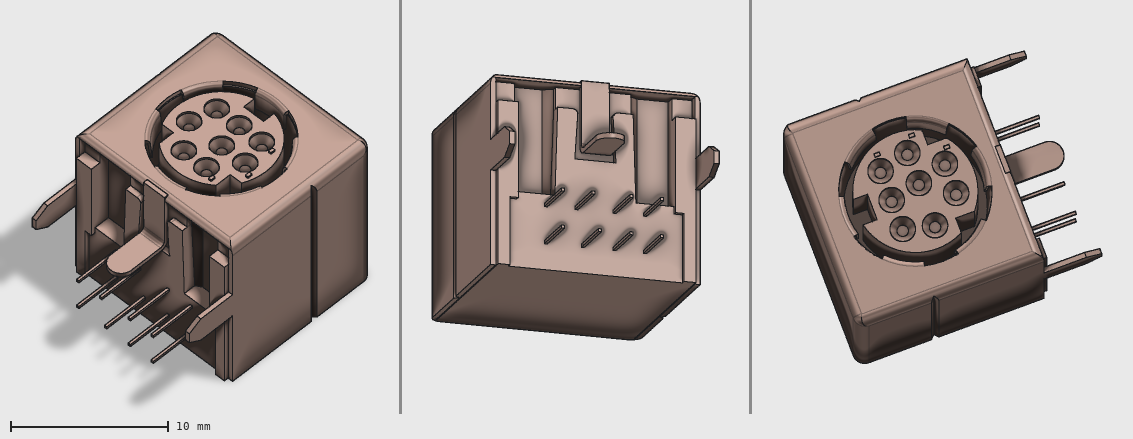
import cadquery as cq
import math


SHELL_WIDTH = 14.0
SHELL_BACK = 12.98
SHELL_FRONT = 0.33
SHELL_TOP = 12.8
SHEET = 0.35
SIDE_BEND = 0.75
CORNER_BEND = 0.78
BACK_BEND = 0.56
LIP_LENGTH = 0.53
LIP_DROP = 0.33
GROOVE_Y = 7.72
GROOVE_DEPTH = 0.26
GROOVE_HALF_WIDTH = 0.25

TAB_END = -3.58
SIDE_TAB_BOTTOM = 6.28
SIDE_TAB_TOP = 8.31
SIDE_TAB_SHOULDER = -2.53
SIDE_TAB_CHAMFER_RISE = 0.6
FRONT_TAB_HALF_WIDTH = 0.93
FRONT_TAB_BOTTOM = 7.92

BODY_HALF_WIDTH = 6.59
BODY_TOP = 12.32
LEDGE_Y = 0.78
DEEP_Y = 1.54
FOOT_TOP = 10.88
FOOT_STEP_Z = 4.52
FOOT_INNER_X = 5.25
FOOT_LOWER_INNER_X = 5.8
RECESS_FLOOR = 5.02
CORE_EDGE_X = 3.16
CENTRE_TOP_HALF_WIDTH = 2.52
CENTRE_BOTTOM_HALF_WIDTH = 2.7
SLOT_BOTTOM = 7.55
SLOT_TOP_HALF_WIDTH = 1.16
SLOT_BOTTOM_HALF_WIDTH = 1.37
SLOT_LIP_RADIUS = 0.36

MATING_Y = 6.45
MOUTH_RADIUS = 4.87
CAVITY_FLOOR_RADIUS = 4.57
CAVITY_DEPTH = 4.97
INSERT_RADIUS = 3.97
KEY_HALF_WIDTH = 0.88
KEY_FLOOR_Y = 2.91
SIDE_KEY_X = 2.53
SIDE_KEY_Y = -1.79
SOCKET_RADIUS = 0.81
SOCKET_FLOOR_RADIUS = 0.36
SOCKET_STRAIGHT_DEPTH = 0.17
SOCKET_DEPTH = 0.66
SOCKETS = [
    (-2.0, 1.6), (0, 1.6), (2.0, 1.6),
    (-2.5, -0.4), (0.41, -0.4), (2.5, -0.4),
    (-1.01, -2.38), (1.01, -2.38),
]
MARKS = [(3.05, 1.44), (3.45, -1.05), (1.95, -2.86)]
MARK_LENGTH = 0.36
MARK_WIDTH = 0.23
MARK_HEIGHT = 0.13
FINGER_COUNT = 6
KEY_FINGER_ANGLE = 90.0
FINGER_SWEEP = 33.0
FINGER_TIP_RADIUS = 4.39
FINGER_THICKNESS = 0.15
FINGER_LENGTH = 1.65

PIN_SIZE = 0.2
PIN_END = -3.2
PIN_UPPER_Z = 4.29
PIN_LOWER_Z = 1.82
PINS = [
    (-3.31, PIN_UPPER_Z), (-1.28, PIN_UPPER_Z), (1.28, PIN_UPPER_Z), (3.31, PIN_UPPER_Z),
    (-3.31, PIN_LOWER_Z), (-0.85, PIN_LOWER_Z), (1.28, PIN_LOWER_Z), (3.31, PIN_LOWER_Z),
]

SHELL_HALF_WIDTH = SHELL_WIDTH / 2
SHELL_INNER_X = SHELL_HALF_WIDTH - SHEET
SHELL_INNER_TOP = SHELL_TOP - SHEET
CAVITY_FLOOR = SHELL_TOP - CAVITY_DEPTH


def box(x0, x1, y0, y1, z0, z1):
    """Box between two opposite corners."""
    return cq.Workplane("XY").box(x1 - x0, y1 - y0, z1 - z0, centered=False).translate((x0, y0, z0))


def mirror_pair(shape):
    """The shape together with its mirror image across X = 0."""
    return shape.union(shape.mirror("YZ"))


def front_prism(points, y0, y1):
    """Prism with an X-Z outline, running from Y = y0 back to Y = y1."""
    return cq.Workplane("XZ", origin=(0, y0, 0)).polyline(points).close().extrude(y0 - y1)


def mating_plane(z):
    return cq.Workplane("XY", origin=(0, MATING_Y, z))


def revolve_about_mating_axis(points):
    """Solid turned from a radius-height outline around the mating axis."""
    return (
        cq.Workplane("XZ", origin=(0, MATING_Y, 0))
        .polyline(points)
        .close()
        .revolve(360, (0, 0, 0), (0, 1, 0))
    )


def make_shell():
    """Bent shell, open at the front and at the bottom."""
    blank = box(-SHELL_HALF_WIDTH, SHELL_HALF_WIDTH, SHELL_FRONT, SHELL_BACK, 0, SHELL_TOP)
    plan = blank.edges("|Z and >Y").fillet(CORNER_BEND)
    plan = plan.edges(">Z and >Y").fillet(BACK_BEND)
    arch = blank.edges("|Y and >Z").fillet(SIDE_BEND)
    shell = plan.intersect(arch).intersect(side_profile())
    inside = box(-SHELL_INNER_X, SHELL_INNER_X, SHELL_FRONT, SHELL_BACK - SHEET, 0, SHELL_INNER_TOP)
    return shell.cut(inside).cut(mirror_pair(side_groove()))


def side_profile():
    """Y-Z outline of the shell: straight but for the curved lip at the front."""
    lip_radius = (LIP_LENGTH**2 + LIP_DROP**2) / (2 * LIP_DROP)
    return (
        cq.Workplane("YZ", origin=(-SHELL_HALF_WIDTH, 0, 0))
        .moveTo(SHELL_FRONT, 0)
        .lineTo(SHELL_FRONT, SHELL_TOP - LIP_DROP)
        .radiusArc((SHELL_FRONT + LIP_LENGTH, SHELL_TOP), lip_radius)
        .lineTo(SHELL_BACK, SHELL_TOP)
        .lineTo(SHELL_BACK, 0)
        .close()
        .extrude(SHELL_WIDTH)
    )


def side_groove():
    """V groove down the +X side."""
    return (
        cq.Workplane("XY")
        .moveTo(SHELL_HALF_WIDTH - GROOVE_DEPTH, GROOVE_Y)
        .lineTo(SHELL_HALF_WIDTH, GROOVE_Y - GROOVE_HALF_WIDTH)
        .lineTo(SHELL_HALF_WIDTH, GROOVE_Y + GROOVE_HALF_WIDTH)
        .close()
        .extrude(SHELL_TOP)
    )


def side_tab():
    """Pointed tab continuing the +X side."""
    outline = [
        (SHELL_FRONT, SIDE_TAB_BOTTOM),
        (SIDE_TAB_SHOULDER, SIDE_TAB_BOTTOM),
        (TAB_END, SIDE_TAB_BOTTOM + SIDE_TAB_CHAMFER_RISE),
        (TAB_END, SIDE_TAB_TOP - SIDE_TAB_CHAMFER_RISE),
        (SIDE_TAB_SHOULDER, SIDE_TAB_TOP),
        (SHELL_FRONT, SIDE_TAB_TOP),
    ]
    return cq.Workplane("YZ", origin=(SHELL_INNER_X, 0, 0)).polyline(outline).close().extrude(SHEET)


def front_tab():
    """Strip hanging from the front lip and bent forward into a round-ended tab."""
    strip_back = SHELL_FRONT + SHEET
    plate_top = FRONT_TAB_BOTTOM + SHEET
    end_centre_y = TAB_END + FRONT_TAB_HALF_WIDTH
    tab = (
        cq.Workplane("YZ", origin=(-FRONT_TAB_HALF_WIDTH, 0, 0))
        .moveTo(strip_back, SHELL_TOP)
        .lineTo(SHELL_FRONT, SHELL_TOP)
        .lineTo(SHELL_FRONT, plate_top + SHEET)
        .radiusArc((SHELL_FRONT - SHEET, plate_top), SHEET)
        .lineTo(end_centre_y, plate_top)
        .lineTo(end_centre_y, FRONT_TAB_BOTTOM)
        .lineTo(SHELL_FRONT - SHEET, FRONT_TAB_BOTTOM)
        .radiusArc((strip_back, plate_top + SHEET), -2 * SHEET)
        .close()
        .extrude(2 * FRONT_TAB_HALF_WIDTH)
    )
    round_end = (
        cq.Workplane("XY", origin=(0, end_centre_y, FRONT_TAB_BOTTOM))
        .circle(FRONT_TAB_HALF_WIDTH)
        .extrude(SHEET)
    )
    return tab.union(round_end)


def make_body():
    """Insulator block with feet, side recesses and a slot behind the front tab."""
    body = box(-BODY_HALF_WIDTH, BODY_HALF_WIDTH, SHELL_FRONT, SHELL_BACK - SHEET, 0, BODY_TOP)
    body = body.union(mirror_pair(foot()))
    body = body.cut(box(-BODY_HALF_WIDTH, BODY_HALF_WIDTH, 0, LEDGE_Y, FOOT_TOP, BODY_TOP))
    return body.cut(mirror_pair(side_recess())).cut(tab_slot())


def foot():
    """Stepped foot on the +X side."""
    outline = [
        (FOOT_LOWER_INNER_X, 0),
        (FOOT_LOWER_INNER_X, FOOT_STEP_Z),
        (FOOT_INNER_X, FOOT_STEP_Z),
        (FOOT_INNER_X, FOOT_TOP),
        (BODY_HALF_WIDTH, FOOT_TOP),
        (BODY_HALF_WIDTH, 0),
    ]
    return front_prism(outline, 0, SHELL_FRONT)


def side_recess():
    """Deep recess on the +X side, bounded inwards by the round core around the cavity."""
    outline = [
        (CENTRE_BOTTOM_HALF_WIDTH, RECESS_FLOOR),
        (FOOT_INNER_X, RECESS_FLOOR),
        (FOOT_INNER_X, BODY_TOP),
        (CENTRE_TOP_HALF_WIDTH, BODY_TOP),
        (CENTRE_TOP_HALF_WIDTH, FOOT_TOP),
    ]
    core_radius = math.hypot(CORE_EDGE_X, MATING_Y - DEEP_Y)
    core = mating_plane(0).circle(core_radius).extrude(BODY_TOP)
    return front_prism(outline, 0, DEEP_Y).cut(core)


def tab_slot():
    """Slot that widens downwards, with rounded upper rims."""
    outline = [
        (-SLOT_BOTTOM_HALF_WIDTH, SLOT_BOTTOM),
        (SLOT_BOTTOM_HALF_WIDTH, SLOT_BOTTOM),
        (SLOT_TOP_HALF_WIDTH, FOOT_TOP),
        (-SLOT_TOP_HALF_WIDTH, FOOT_TOP),
    ]
    rim = (
        cq.Workplane("XZ", origin=(0, SHELL_FRONT, 0))
        .moveTo(SLOT_TOP_HALF_WIDTH, FOOT_TOP)
        .lineTo(SLOT_TOP_HALF_WIDTH + SLOT_LIP_RADIUS, FOOT_TOP)
        .radiusArc((SLOT_TOP_HALF_WIDTH, FOOT_TOP - SLOT_LIP_RADIUS), -SLOT_LIP_RADIUS)
        .close()
        .extrude(SHELL_FRONT - LEDGE_Y)
    )
    return front_prism(outline, SHELL_FRONT, LEDGE_Y).union(mirror_pair(rim))


def mouth():
    """Round hole in the shell above a cavity that narrows towards its floor."""
    return revolve_about_mating_axis([
        (0, CAVITY_FLOOR),
        (CAVITY_FLOOR_RADIUS, CAVITY_FLOOR),
        (MOUTH_RADIUS, SHELL_INNER_TOP),
        (MOUTH_RADIUS, SHELL_TOP),
        (0, SHELL_TOP),
    ])


def make_insert():
    """Keyed round insert with its sockets and index marks."""
    insert = mating_plane(CAVITY_FLOOR).circle(INSERT_RADIUS).extrude(CAVITY_DEPTH)
    top_key = box(
        -KEY_HALF_WIDTH, KEY_HALF_WIDTH,
        MATING_Y + KEY_FLOOR_Y, MATING_Y + INSERT_RADIUS,
        CAVITY_FLOOR, SHELL_TOP,
    )
    side_key = box(
        SIDE_KEY_X, INSERT_RADIUS,
        MATING_Y - INSERT_RADIUS, MATING_Y + SIDE_KEY_Y,
        CAVITY_FLOOR, SHELL_TOP,
    )
    insert = insert.cut(top_key).cut(mirror_pair(side_key))
    socket = revolve_about_mating_axis([
        (0, SHELL_TOP),
        (SOCKET_RADIUS, SHELL_TOP),
        (SOCKET_RADIUS, SHELL_TOP - SOCKET_STRAIGHT_DEPTH),
        (SOCKET_FLOOR_RADIUS, SHELL_TOP - SOCKET_DEPTH),
        (0, SHELL_TOP - SOCKET_DEPTH),
    ])
    for x, y in SOCKETS:
        insert = insert.cut(socket.translate((x, y, 0)))
    marks = mating_plane(SHELL_TOP).pushPoints(MARKS).rect(MARK_WIDTH, MARK_LENGTH).extrude(MARK_HEIGHT)
    return insert.union(marks)


def contact_finger(tip_radius, angle):
    """Spring finger rolled over the rim of the mouth, centred on an angle from +X."""
    throat_radius = MOUTH_RADIUS - SHEET
    tip = SHELL_TOP - FINGER_LENGTH
    finger = (
        cq.Workplane("XZ", origin=(0, MATING_Y, 0))
        .moveTo(MOUTH_RADIUS, SHELL_TOP)
        .radiusArc((throat_radius, SHELL_INNER_TOP), -SHEET)
        .lineTo(tip_radius, tip)
        .lineTo(tip_radius + FINGER_THICKNESS, tip)
        .lineTo(throat_radius + FINGER_THICKNESS, SHELL_INNER_TOP)
        .lineTo(MOUTH_RADIUS, SHELL_INNER_TOP)
        .close()
        .revolve(FINGER_SWEEP, (0, 0, 0), (0, 1, 0))
    )
    return finger.rotate((0, MATING_Y, 0), (0, MATING_Y, 1), angle - FINGER_SWEEP / 2)


def contact_fingers():
    """The finger behind the top key hangs straight and the others lean inwards."""
    fingers = contact_finger(MOUTH_RADIUS - SHEET, KEY_FINGER_ANGLE)
    for index in range(1, FINGER_COUNT):
        angle = KEY_FINGER_ANGLE + index * 360 / FINGER_COUNT
        fingers = fingers.union(contact_finger(FINGER_TIP_RADIUS, angle))
    return fingers


def solder_pins():
    """Square pins standing out of the front of the body."""
    return (
        cq.Workplane("XZ", origin=(0, SHELL_FRONT, 0))
        .pushPoints(PINS)
        .rect(PIN_SIZE, PIN_SIZE)
        .extrude(SHELL_FRONT - PIN_END)
    )


housing = make_shell().union(make_body()).cut(mouth())
metal = mirror_pair(side_tab()).union(front_tab()).union(solder_pins())
result = housing.union(metal).union(make_insert()).union(contact_fingers())